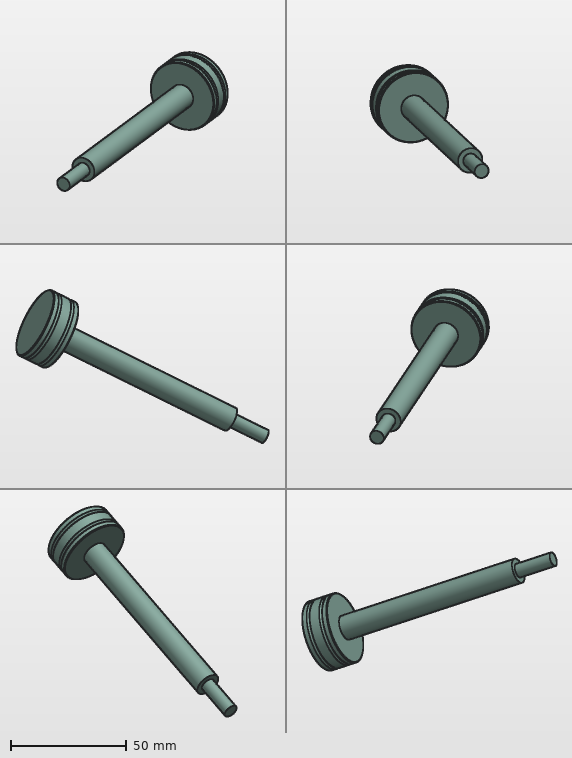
import cadquery as cq

head_diameter = 31.8
head_thickness = 12.7
rim_chamfer = 0.4

groove_radius = 0.7
groove_offset = 3.2

shaft_diameter = 11.1
tip_diameter = 6.3
tip_length = 17.6
total_length = 117.5

tilt_degrees = 7.6


def cylinder(diameter, start, end):
    """Round bar along the local Z axis between two stations."""
    return cq.Workplane("XY").workplane(offset=start).circle(diameter / 2).extrude(end - start)


def ring_groove(station):
    """Torus that cuts a half-round groove around the head."""
    return cq.Workplane(cq.Solid.makeTorus(head_diameter / 2, groove_radius, cq.Vector(0, 0, station)))


head = cylinder(head_diameter, 0, head_thickness).edges().chamfer(rim_chamfer)
for station in (groove_offset, head_thickness - groove_offset):
    head = head.cut(ring_groove(station))

shoulder = total_length - tip_length
shaft = cylinder(shaft_diameter, head_thickness, shoulder)
tip = cylinder(tip_diameter, shoulder, total_length)

result = head.union(shaft).union(tip).rotate((0, 0, 0), (1, 0, 0), 90 - tilt_degrees)